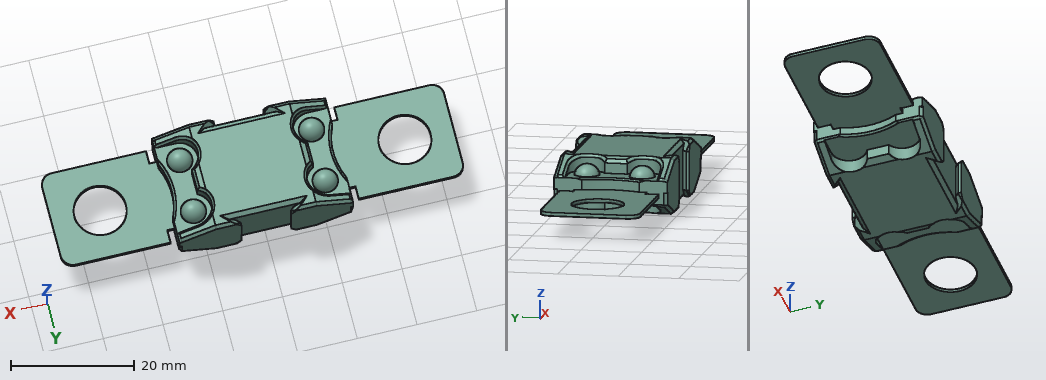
import cadquery as cq
import math

STRIP_LENGTH = 67.3
STRIP_WIDTH = 16.4
STRIP_THICKNESS = 0.6
STRIP_CENTER_Z = -0.3
STRIP_CORNER_RADIUS = 2.0
NECK_WIDTH = 12.0
TAB_INNER_X = 15.75
BOLT_HOLE_X = 25.5
BOLT_HOLE_DIAMETER = 8.6

HOUSING_LENGTH = 29.1
HOUSING_WIDTH = 18.8
HOUSING_HEIGHT = 9.3
END_HEIGHT = 4.45
CREASE_X = 8.4
EDGE_BEVEL_WIDTH = 0.57
EDGE_BEVEL_HEIGHT = 0.4
END_SLOPE = (HOUSING_HEIGHT - END_HEIGHT) / (HOUSING_LENGTH - 2 * CREASE_X)
HALF_LENGTH = HOUSING_LENGTH / 2
HALF_WIDTH = HOUSING_WIDTH / 2
HALF_HEIGHT = HOUSING_HEIGHT / 2
END_BEVEL_WIDTH = 0.37
END_BEVEL_HEIGHT = 0.3
CORNER_CUT_X = 0.4
CORNER_CUT_Y = 0.57

RECESS_WALL_Y = 8.2
RECESS_MOUTH_X = 4.2
RECESS_LIP_Y = 8.9
RECESS_FLANK_BEVEL_HEIGHT = 1.4
RECESS_FLANK_BEVEL_SETBACK = 1.6
RECESS_WALL_BEVEL_WIDTH = 0.8
RECESS_WALL_BEVEL_HEIGHT = 0.44

RIVET_X = 11.05
RIVET_Y = 4.6
RIVET_RADIUS = 2.1
RIVET_HEIGHT = 1.75
RIVET_EMBEDDING = 0.2
POCKET_RADIUS = 3.0
UPPER_FLOOR_Z = 1.95
LOWER_FLOOR_DEPTH = 2.2
POCKET_BEVEL_WIDTH = 0.4
POCKET_BEVEL_HEIGHT = 0.5
RIB_FACE_X = 9.7

RELIEF_HALF_WIDTH = 4.8
RELIEF_DEPTH = 1.0
RELIEF_BEVEL_WIDTH = 0.4
RELIEF_BEVEL_HEIGHT = 0.3

CUT_MARGIN = 1.35


def loft(*wires):
    """Straight-sided solid through the given outlines."""
    return cq.Workplane(cq.Solid.makeLoft(list(wires), True))


def in_four_corners(tool):
    """The given solid and its mirror images in X, in Y and in both."""
    pair = tool.add(tool.mirror("YZ")).combine()
    return pair.add(pair.mirror("XZ")).combine()


def make_strip():
    strip = (
        cq.Workplane("XY")
        .box(STRIP_LENGTH, STRIP_WIDTH, STRIP_THICKNESS)
        .edges("|Z")
        .fillet(STRIP_CORNER_RADIUS)
        .cut(cq.Workplane("XY").box(2 * TAB_INNER_X, STRIP_WIDTH, STRIP_THICKNESS))
        .union(cq.Workplane("XY").box(2 * TAB_INNER_X, NECK_WIDTH, STRIP_THICKNESS))
    )
    holes = (
        cq.Workplane("XY")
        .pushPoints([(-BOLT_HOLE_X, 0), (BOLT_HOLE_X, 0)])
        .circle(BOLT_HOLE_DIAMETER / 2)
        .extrude(STRIP_THICKNESS, both=True)
    )
    return strip.cut(holes).translate((0, 0, STRIP_CENTER_Z))


def housing_wire(y, lowering, end_bevel):
    """Twelve-sided outline at the given y, with its upper and lower edges moved inwards."""
    end_z = END_HEIGHT / 2 - lowering
    quarter = [
        (CREASE_X, HALF_HEIGHT - lowering),
        (HALF_LENGTH - END_BEVEL_WIDTH, end_z + END_BEVEL_WIDTH * END_SLOPE),
        (HALF_LENGTH, end_z - end_bevel),
    ]
    right_half = quarter + [(x, -z) for x, z in reversed(quarter)]
    outline = right_half + [(-x, z) for x, z in reversed(right_half)]
    return cq.Wire.makePolygon([cq.Vector(x, y, z) for x, z in outline], close=True)


def make_housing():
    """Body with bevelled upper and lower edges; the end bevels fade out at the long sides."""
    bevel_start_y = HALF_WIDTH - EDGE_BEVEL_WIDTH
    housing = loft(
        housing_wire(-HALF_WIDTH, EDGE_BEVEL_HEIGHT, 0),
        housing_wire(-bevel_start_y, 0, END_BEVEL_HEIGHT),
        housing_wire(bevel_start_y, 0, END_BEVEL_HEIGHT),
        housing_wire(HALF_WIDTH, EDGE_BEVEL_HEIGHT, 0),
    )
    corner = (
        cq.Workplane("XY")
        .moveTo(HALF_LENGTH, HALF_WIDTH)
        .line(-CORNER_CUT_X, 0)
        .line(CORNER_CUT_X, -CORNER_CUT_Y)
        .close()
        .extrude(-HALF_HEIGHT)
    )
    return housing.cut(in_four_corners(corner))


def polygon_at(z, half_outline):
    """Closed level outline made of the given points and their mirror images in X."""
    points = half_outline + [(-x, y) for x, y in reversed(half_outline)]
    return cq.Wire.makePolygon([cq.Vector(x, y, z) for x, y in points], close=True)


def make_recess_tool():
    """Both dovetail recesses with bevelled upper and lower rims."""
    outer_y = HALF_WIDTH + CUT_MARGIN
    flare = RECESS_LIP_Y - RECESS_WALL_Y
    mouth = [
        (RECESS_MOUTH_X, outer_y),
        (RECESS_MOUTH_X, RECESS_LIP_Y),
        (RECESS_MOUTH_X + flare, RECESS_WALL_Y),
    ]
    top_wall_x = RECESS_MOUTH_X + flare + RECESS_FLANK_BEVEL_SETBACK
    top_lip_x = top_wall_x - (HALF_WIDTH - RECESS_WALL_Y)
    top_mouth = [(top_lip_x, outer_y), (top_lip_x, HALF_WIDTH), (top_wall_x, RECESS_WALL_Y)]
    bevel_z = HALF_HEIGHT - RECESS_FLANK_BEVEL_HEIGHT

    wall_bevel_z = HALF_HEIGHT - RECESS_WALL_BEVEL_HEIGHT
    flank_lean = RECESS_FLANK_BEVEL_SETBACK / RECESS_FLANK_BEVEL_HEIGHT
    wall_bevel_x = top_wall_x - flank_lean * RECESS_WALL_BEVEL_HEIGHT
    overlap = RECESS_WALL_BEVEL_WIDTH
    lower_edge = [(wall_bevel_x - overlap, RECESS_WALL_Y + overlap), (wall_bevel_x, RECESS_WALL_Y)]
    upper_edge = [
        (top_wall_x - overlap, RECESS_WALL_Y + overlap),
        (top_wall_x + RECESS_WALL_BEVEL_WIDTH, RECESS_WALL_Y - RECESS_WALL_BEVEL_WIDTH),
    ]

    upper_half = (
        loft(polygon_at(0, mouth), polygon_at(bevel_z, mouth))
        .union(loft(polygon_at(bevel_z, mouth), polygon_at(HALF_HEIGHT, top_mouth)))
        .union(loft(polygon_at(wall_bevel_z, lower_edge), polygon_at(HALF_HEIGHT, upper_edge)))
    )
    one_side = upper_half.union(upper_half.mirror("XY"))
    return one_side.union(one_side.mirror("XZ"))


def pocket_outline(z, growth):
    """Closed pocket outline at the given z, grown outwards by the given distance."""
    radius = POCKET_RADIUS + growth
    rib_x = RIB_FACE_X - growth
    open_x = HALF_LENGTH + CUT_MARGIN
    rib_y = RIVET_Y - math.sqrt(radius**2 - (RIVET_X - rib_x) ** 2)
    side_y = RIVET_Y + radius
    inner_x = RIVET_X - radius
    return (
        cq.Workplane("XY", origin=(0, 0, z))
        .moveTo(open_x, -side_y)
        .lineTo(open_x, side_y)
        .lineTo(RIVET_X, side_y)
        .threePointArc((inner_x, RIVET_Y), (rib_x, rib_y))
        .lineTo(rib_x, -rib_y)
        .threePointArc((inner_x, -RIVET_Y), (RIVET_X, -side_y))
        .close()
    )


def make_rim_bevel_tools():
    """Rim bevel of the upper pocket: a flat part and a part that follows the sloping end face."""
    flat_bevel = loft(
        pocket_outline(HALF_HEIGHT - POCKET_BEVEL_HEIGHT, 0).val(),
        pocket_outline(HALF_HEIGHT, POCKET_BEVEL_WIDTH).val(),
    )
    shear = cq.Matrix([[1, 0, 0, 0], [0, 1, 0, 0], [-END_SLOPE, 0, 1, END_SLOPE * CREASE_X]])
    sloping_bevel = cq.Workplane(flat_bevel.val().transformGeometry(shear))
    above_floor = cq.Workplane("XY", origin=(0, 0, UPPER_FLOOR_Z))
    inner_space = above_floor.rect(2 * CREASE_X, HOUSING_WIDTH).extrude(HALF_HEIGHT)
    outer_space = above_floor.rect(2 * HOUSING_LENGTH, HOUSING_WIDTH).extrude(HALF_HEIGHT).cut(inner_space)
    return [flat_bevel.intersect(inner_space), sloping_bevel.intersect(outer_space)]


def make_relief_tool(floor_z):
    """Round end relief from mid-height up to a pocket floor, flared where it meets the floor."""
    radius = (RELIEF_HALF_WIDTH**2 + RELIEF_DEPTH**2) / (2 * RELIEF_DEPTH)
    center_x = HALF_LENGTH - RELIEF_DEPTH + radius
    bevel_z = floor_z - RELIEF_BEVEL_HEIGHT
    column = cq.Workplane("XY").center(center_x, 0).circle(radius).extrude(bevel_z)
    flare = cq.Solid.makeCone(
        radius,
        radius + RELIEF_BEVEL_WIDTH,
        RELIEF_BEVEL_HEIGHT,
        cq.Vector(center_x, 0, bevel_z),
    )
    return column.union(cq.Workplane(flare))


def make_rivet_head():
    ball_radius = (RIVET_RADIUS**2 + RIVET_HEIGHT**2) / (2 * RIVET_HEIGHT)
    ball_z = UPPER_FLOOR_Z + RIVET_HEIGHT - ball_radius
    ball = cq.Workplane("XY").sphere(ball_radius).translate((RIVET_X, RIVET_Y, ball_z))
    column = (
        cq.Workplane("XY", origin=(RIVET_X, RIVET_Y, UPPER_FLOOR_Z - RIVET_EMBEDDING))
        .circle(RIVET_RADIUS)
        .extrude(HALF_HEIGHT)
    )
    return ball.intersect(column)


upper_tools = [
    pocket_outline(UPPER_FLOOR_Z, 0).extrude(HALF_HEIGHT),
    *make_rim_bevel_tools(),
    make_relief_tool(UPPER_FLOOR_Z),
]
lower_tools = [
    pocket_outline(LOWER_FLOOR_DEPTH, 0).extrude(HALF_HEIGHT).mirror("XY"),
    make_relief_tool(LOWER_FLOOR_DEPTH).mirror("XY"),
]

housing = make_housing().cut(make_recess_tool())
for end_tool in upper_tools + lower_tools:
    housing = housing.cut(end_tool).cut(end_tool.mirror("YZ"))

result = housing.union(in_four_corners(make_rivet_head())).union(make_strip())